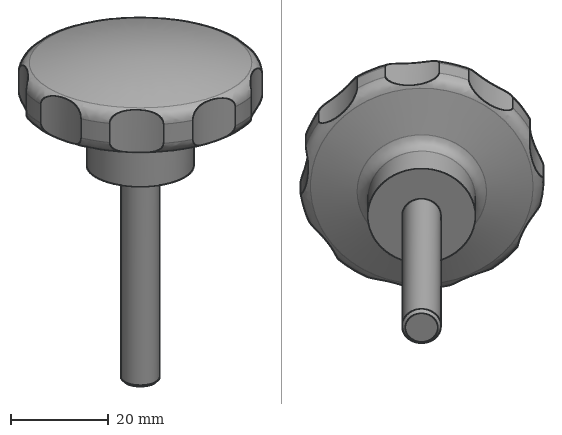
import cadquery as cq
import math

stud_radius = 4.0
stud_length = 48.2
stud_chamfer = 0.7

hub_radius = 11.0
head_radius = 25.0
head_top = 25.8
dome_radius = 91.75
cone_base_height = 9.9
cone_angle = 14.4
rim_fillet = 2.95
neck_fillet = 2.95

flute_count = 9
flute_radius = 15.55
flute_floor_radius = 23.4
first_flute_angle = -90.0


def dome_height(radius):
    """Height of the spherical top at a distance from the axis."""
    return head_top - dome_radius + math.sqrt(dome_radius**2 - radius**2)


def make_knob():
    cone_rise = (head_radius - hub_radius) * math.tan(math.radians(cone_angle))
    cone_top = cone_base_height + cone_rise
    dome_edge = dome_height(head_radius)
    mid_radius = head_radius / 2
    profile = (
        cq.Workplane("XZ")
        .lineTo(hub_radius, 0)
        .lineTo(hub_radius, cone_base_height)
        .lineTo(head_radius, cone_top)
        .lineTo(head_radius, dome_edge)
        .threePointArc((mid_radius, dome_height(mid_radius)), (0, head_top))
        .close()
    )
    knob = profile.revolve(360, (0, 0, 0), (0, 1, 0))

    def circle_at(height, radius):
        near = cq.selectors.BoxSelector(
            (-radius - 0.75, -radius - 0.75, height - 0.1),
            (radius + 0.75, radius + 0.75, height + 0.1),
            boundingbox=True,
        )
        return knob.edges(near)

    knob = circle_at(dome_edge, head_radius).fillet(rim_fillet)
    knob = circle_at(cone_top, head_radius).fillet(rim_fillet)
    return circle_at(cone_base_height, hub_radius).fillet(neck_fillet)


def make_flutes():
    """Vertical cylinders that scoop the finger grips out of the rim."""
    return (
        cq.Workplane("XY")
        .polarArray(flute_floor_radius + flute_radius, first_flute_angle, 360, flute_count)
        .circle(flute_radius)
        .extrude(head_top, combine=False)
    )


def make_stud():
    stud = cq.Workplane("XY").circle(stud_radius).extrude(-stud_length)
    return stud.faces("<Z").chamfer(stud_chamfer)


knob = make_knob()
knob = knob.cut(make_flutes())
result = knob.union(make_stud())